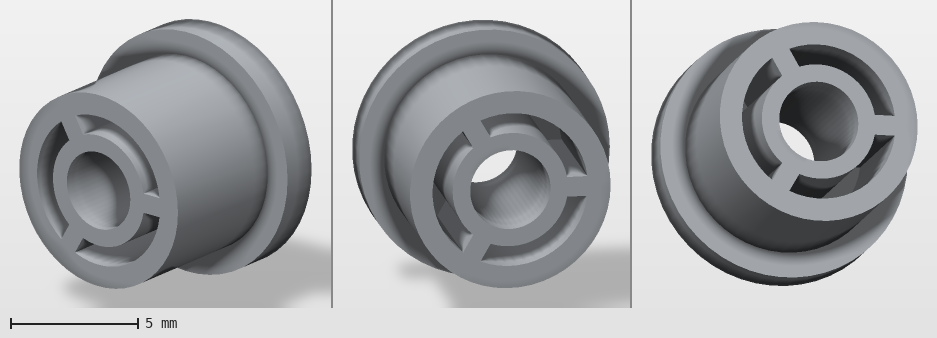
import cadquery as cq

flange_diameter = 10.0
flange_thickness = 1.5
barrel_diameter = 8.0
barrel_length = 5.6
bore_diameter = 3.2

pocket_outer_diameter = 6.2
pocket_inner_diameter = 4.6
pocket_depth = barrel_length
rib_width = 0.8
rib_count = 3

total_length = barrel_length + flange_thickness


def cylinder_along_y(diameter, start_y, length):
    """Solid cylinder on the Y axis, running from start_y towards +Y."""
    plane = cq.Workplane("XZ", origin=(0, start_y, 0))
    return plane.circle(diameter / 2).extrude(-length)


def rib(angle):
    """Radial wall from the axis to the pocket's outer edge, at an angle from +X towards +Z."""
    reach = pocket_outer_diameter / 2
    wall = cq.Workplane("XY").box(reach, pocket_depth, rib_width, centered=(False, False, True))
    return wall.rotate((0, 0, 0), (0, 1, 0), -angle)


def pocket():
    """Ring of material to remove, interrupted where the ribs stay."""
    outer = cylinder_along_y(pocket_outer_diameter, 0, pocket_depth)
    ring = outer.cut(cylinder_along_y(pocket_inner_diameter, 0, pocket_depth))
    for index in range(rib_count):
        ring = ring.cut(rib(index * 360 / rib_count))
    return ring


barrel = cylinder_along_y(barrel_diameter, 0, barrel_length)
flange = cylinder_along_y(flange_diameter, barrel_length, flange_thickness)
bore = cylinder_along_y(bore_diameter, 0, total_length)

result = barrel.union(flange).cut(bore).cut(pocket())